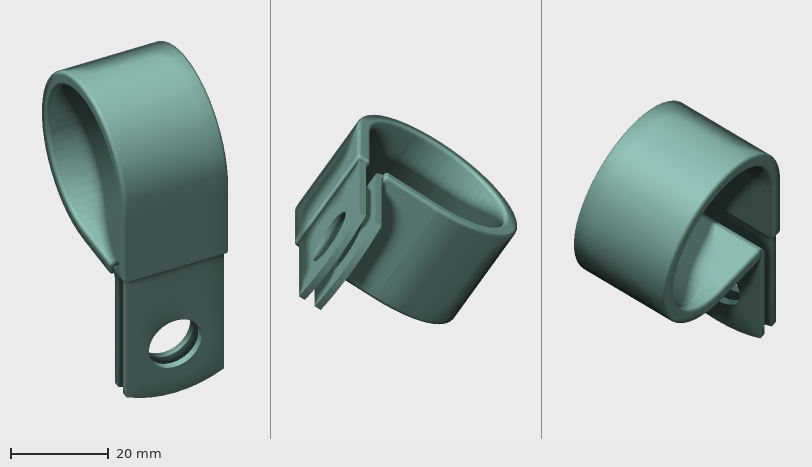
import cadquery as cq
import math


HOSE_DIAMETER = 33.32
STRAP_THICKNESS = 1.5
STRAP_WIDTH = 22.225
CUSHION_WIDTH = 23.81
CUSHION_COVER = 0.8075
EDGE_RADIUS = 0.7575
TAB_GAP = 2.4
BEND_INNER_RADIUS = 1.45
TAB_BOTTOM_Z = -49.985
TAB_END_RADIUS = 25.4
HOLE_DIAMETER = 11.9
HOLE_TO_TAB_BOTTOM = 12.7
CUSHION_SETBACK = 0.52

cushion_inner_radius = HOSE_DIAMETER / 2
strap_inner_radius = cushion_inner_radius + CUSHION_COVER
strap_outer_radius = strap_inner_radius + STRAP_THICKNESS
cushion_outer_radius = strap_outer_radius + CUSHION_COVER

bent_tab_right_x = strap_inner_radius - TAB_GAP
bent_tab_left_x = bent_tab_right_x - STRAP_THICKNESS
bend_outer_radius = BEND_INNER_RADIUS + STRAP_THICKNESS
bend_center_x = bent_tab_left_x - BEND_INNER_RADIUS
bend_center_z = -strap_outer_radius - BEND_INNER_RADIUS

cushion_end_x = bent_tab_left_x - CUSHION_SETBACK
cushion_end_z = -strap_inner_radius

DIAGONAL = math.sqrt(0.5)


def loop_midpoint(radius):
    """Middle of the 270 degree loop that runs from +X over the top to -Z."""
    return (-radius * DIAGONAL, radius * DIAGONAL)


def bend_midpoint(radius):
    """Middle of the quarter bend that turns the lower run into the tab."""
    return (bend_center_x + radius * DIAGONAL, bend_center_z + radius * DIAGONAL)


def extrude_across(outline, width):
    """Extrude an XZ outline by the given width, centred on Y = 0."""
    return outline.close().extrude(width / 2, both=True)


def make_cushion():
    """Rubber cover with every outer edge rounded."""
    outline = (
        cq.Workplane("XZ")
        .moveTo(cushion_outer_radius, cushion_end_z)
        .lineTo(cushion_outer_radius, 0)
        .threePointArc(loop_midpoint(cushion_outer_radius), (0, -cushion_outer_radius))
        .lineTo(cushion_end_x, -cushion_outer_radius)
        .lineTo(cushion_end_x, -cushion_inner_radius)
        .lineTo(0, -cushion_inner_radius)
        .threePointArc(loop_midpoint(cushion_inner_radius), (cushion_inner_radius, 0))
        .lineTo(cushion_inner_radius, cushion_end_z)
    )
    cover = extrude_across(outline, CUSHION_WIDTH)
    return cover.edges().fillet(EDGE_RADIUS)


def make_strap():
    """Metal strap: straight tab, loop, lower run, bend and bent tab."""
    outline = (
        cq.Workplane("XZ")
        .moveTo(strap_outer_radius, TAB_BOTTOM_Z)
        .lineTo(strap_outer_radius, 0)
        .threePointArc(loop_midpoint(strap_outer_radius), (0, -strap_outer_radius))
        .lineTo(bend_center_x, -strap_outer_radius)
        .threePointArc(bend_midpoint(BEND_INNER_RADIUS), (bent_tab_left_x, bend_center_z))
        .lineTo(bent_tab_left_x, TAB_BOTTOM_Z)
        .lineTo(bent_tab_right_x, TAB_BOTTOM_Z)
        .lineTo(bent_tab_right_x, bend_center_z)
        .threePointArc(bend_midpoint(bend_outer_radius), (bend_center_x, -strap_inner_radius))
        .lineTo(0, -strap_inner_radius)
        .threePointArc(loop_midpoint(strap_inner_radius), (strap_inner_radius, 0))
        .lineTo(strap_inner_radius, TAB_BOTTOM_Z)
    )
    return extrude_across(outline, STRAP_WIDTH)


def make_strap_silhouette():
    """Prism along X, as wide as the strap, with the rounded tab ends and the bolt hole."""
    half_width = STRAP_WIDTH / 2
    end_sagitta = TAB_END_RADIUS - math.sqrt(TAB_END_RADIUS**2 - half_width**2)
    corner_z = TAB_BOTTOM_Z + end_sagitta
    hole_z = TAB_BOTTOM_Z + HOLE_TO_TAB_BOTTOM
    return (
        cq.Workplane("YZ")
        .moveTo(-half_width, cushion_outer_radius)
        .lineTo(-half_width, corner_z)
        .threePointArc((0, TAB_BOTTOM_Z), (half_width, corner_z))
        .lineTo(half_width, cushion_outer_radius)
        .close()
        .moveTo(0, hole_z)
        .circle(HOLE_DIAMETER / 2)
        .extrude(cushion_outer_radius, both=True)
    )


strap = make_strap().intersect(make_strap_silhouette())
result = make_cushion().union(strap)